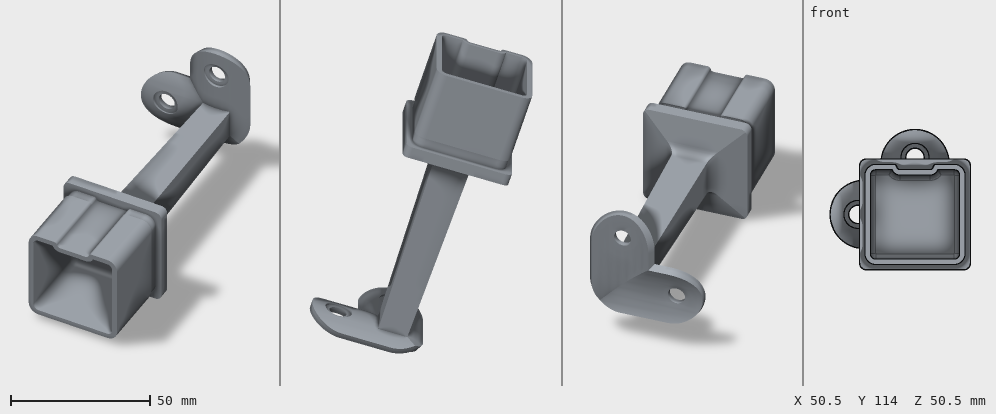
import cadquery as cq
import math


total_length = 114.0
insert_end = 26.1
flange_bottom = 30.0
flange_top = 34.3

insert_half = 18.0
neck_step = 0.4
corner_radius = 4.0
channel_floor_z = 16.1
channel_floor_half = 5.4
channel_bend_radius = 1.1
wall = 1.9
cavity_depth = flange_bottom
cavity_corner_radius = corner_radius - wall
cavity_floor_fillet = 1.9

flange_half = 20.0
flange_corner_radius = 2.5
pyramid_angle = math.radians(15)

post_base_width = 13.6
post_base_half = post_base_width / 2
post_top_half = 5.5
post_fillet_radius = 4.0
post_overlap = 1.1

saddle_inner_radius = 21.2
saddle_thickness = 3.0
saddle_outer_radius = saddle_inner_radius + saddle_thickness
arm_half_width = 12.3
arm_end_centre = 18.2
hole_centre = 20.5
hole_diameter = 6.5
recess_diameter = 10.0
recess_depth = 1.0

rim_cosine = math.sqrt(1 - (arm_half_width / saddle_outer_radius) ** 2)
saddle_axis_y = total_length + saddle_inner_radius * rim_cosine
saddle_crown_y = saddle_axis_y - saddle_outer_radius


def section_plane(y):
    """XZ sketch plane at height y; its normal points to -Y."""
    return cq.Workplane("XZ", origin=(0, y, 0))


def rounded_square(half, radius, y_start, y_end):
    """Square bar along Y with rounded edges."""
    bar = section_plane(y_start).rect(2 * half, 2 * half).extrude(y_start - y_end)
    return bar.edges("|Y").fillet(radius)


def mirrored(point):
    """Point reflected across the part's X = 0 plane."""
    return (-point[0], point[1])


def key_channel(half, y_start, y_end):
    """Bar that cuts the key channel; each side is two equal tangent arcs."""
    radius = channel_bend_radius
    depth = half - channel_floor_z
    bend = math.acos(1 - depth / (2 * radius))
    bend_run = radius * math.sin(bend)
    mid_run = radius * math.sin(bend / 2)
    mid_rise = radius * (1 - math.cos(bend / 2))

    outer = (channel_floor_half + 2 * bend_run, half)
    outer_mid = (outer[0] - mid_run, outer[1] - mid_rise)
    meeting = (channel_floor_half + bend_run, channel_floor_z + depth / 2)
    floor = (channel_floor_half, channel_floor_z)
    floor_mid = (floor[0] + mid_run, floor[1] + mid_rise)
    return (
        section_plane(y_start)
        .moveTo(*outer)
        .threePointArc(outer_mid, meeting)
        .threePointArc(floor_mid, floor)
        .lineTo(*mirrored(floor))
        .threePointArc(mirrored(floor_mid), mirrored(meeting))
        .threePointArc(mirrored(outer_mid), mirrored(outer))
        .close()
        .extrude(y_start - y_end)
    )


def insert_length(half, y_start, y_end):
    """Solid length of the insert with the key channel cut along its +Z side."""
    bar = rounded_square(half, corner_radius, y_start, y_end)
    return bar.cut(key_channel(half, y_start, y_end))


def cavity():
    """Inside of the insert: follows the channel at one wall thickness, with a rounded floor."""
    half = insert_half - wall
    radius = channel_bend_radius + wall
    centre_z = channel_floor_z + channel_bend_radius
    rib_bottom_z = channel_floor_z - wall
    side_angle = math.asin((centre_z - half) / radius)
    mid_angle = (side_angle + math.pi / 2) / 2
    side = (channel_floor_half + radius * math.cos(side_angle), half)
    mid = (channel_floor_half + radius * math.cos(mid_angle), centre_z - radius * math.sin(mid_angle))
    bottom = (channel_floor_half, rib_bottom_z)
    rib = (
        section_plane(0)
        .moveTo(*side)
        .threePointArc(mid, bottom)
        .lineTo(*mirrored(bottom))
        .threePointArc(mirrored(mid), mirrored(side))
        .close()
        .extrude(-cavity_depth)
    )
    hollow = rounded_square(half, cavity_corner_radius, 0, cavity_depth).cut(rib)
    return hollow.faces(">Y").edges().fillet(cavity_floor_fillet)


def post_profile(plane):
    """Flange pyramid, fillet and tapered post outline, extruded across the full flange."""
    arc_end_x = post_base_half + post_fillet_radius * (1 - math.sin(pyramid_angle))
    arc_end_y = flange_top + (flange_half - arc_end_x) * math.tan(pyramid_angle)
    half_turn = (math.pi / 2 - pyramid_angle) / 2
    arc_mid_x = post_base_half + post_fillet_radius * (1 - math.cos(half_turn))
    arc_start_y = arc_end_y + post_fillet_radius * math.cos(pyramid_angle)
    arc_mid_y = arc_start_y - post_fillet_radius * math.sin(half_turn)
    post_end_y = saddle_crown_y + post_overlap
    return (
        cq.Workplane(plane)
        .moveTo(flange_half, flange_bottom)
        .lineTo(flange_half, flange_top)
        .lineTo(arc_end_x, arc_end_y)
        .threePointArc((arc_mid_x, arc_mid_y), (post_base_half, arc_start_y))
        .lineTo(post_top_half, post_end_y)
        .lineTo(-post_top_half, post_end_y)
        .lineTo(-post_base_half, arc_start_y)
        .threePointArc((-arc_mid_x, arc_mid_y), (-arc_end_x, arc_end_y))
        .lineTo(-flange_half, flange_top)
        .lineTo(-flange_half, flange_bottom)
        .close()
        .extrude(flange_half, both=True)
    )


def flange_and_post():
    """Square pyramid and post with mitred edges, inside the rounded flange outline."""
    column = rounded_square(flange_half, flange_corner_radius, flange_bottom, total_length)
    return post_profile("XY").intersect(post_profile("ZY")).intersect(column)


def y_cylinder(diameter, y_start, y_end):
    """Cylinder along Y on the screw hole axis of the -X arm."""
    return section_plane(y_start).center(-hole_centre, 0).circle(diameter / 2).extrude(y_start - y_end)


def saddle_arm():
    """Arm to -X, mitred on the plane X + Z = 0, with a recessed screw hole."""
    tube = (
        cq.Workplane("YZ", origin=(-2 * arm_end_centre, 0, 0))
        .center(saddle_axis_y, 0)
        .circle(saddle_outer_radius)
        .extrude(4 * arm_end_centre)
    )
    slot_start = saddle_crown_y - saddle_thickness
    slot = (
        section_plane(slot_start)
        .center(-arm_end_centre / 2, 0)
        .slot2D(arm_end_centre + 2 * arm_half_width, 2 * arm_half_width)
        .extrude(slot_start - total_length)
    )
    skin = tube.intersect(slot).faces("<Y").val()
    arm = cq.Workplane(skin.thicken(-saddle_thickness))

    reach = 2 * arm_end_centre
    mitre_side = (
        section_plane(slot_start)
        .polyline([(-reach, reach), (reach, -reach), (-reach, -reach)])
        .close()
        .extrude(slot_start - total_length)
    )
    hole = y_cylinder(hole_diameter, slot_start, total_length)
    recess = y_cylinder(recess_diameter, slot_start, saddle_crown_y + recess_depth)
    return arm.intersect(mitre_side).cut(hole).cut(recess)


left_arm = saddle_arm()
upper_arm = left_arm.rotate((0, 0, 0), (0, 1, 0), 90).mirror("YZ")
insert = insert_length(insert_half, 0, insert_end)
neck = insert_length(insert_half - neck_step, insert_end, flange_bottom)

result = (
    flange_and_post()
    .union(neck)
    .union(insert)
    .cut(cavity())
    .union(left_arm)
    .union(upper_arm)
)